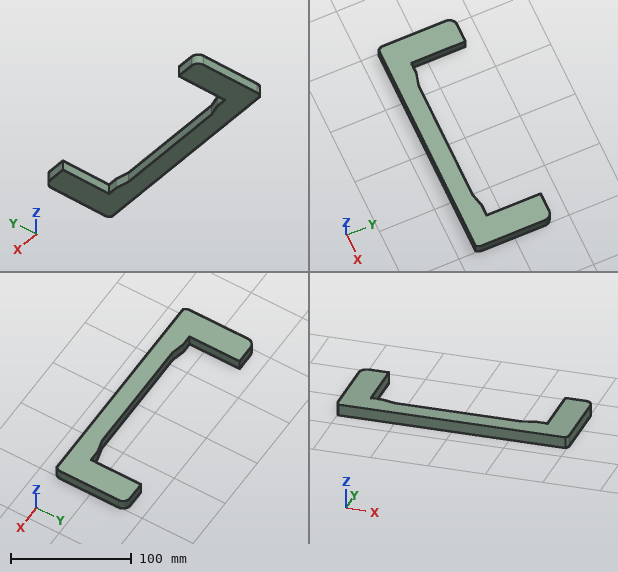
import cadquery as cq
import math

length = 201.5
depth = 69.0
thickness = 10.0

leg_width = 24.0
crossbar_depth = 20.0
corner_radius = 7.0

grip_recess = 3.0
grip_length = 110.0
grip_ramp_length = 12.0

front_arc_depth = 5.0

half_length = length / 2
half_opening = half_length - leg_width
half_grip = grip_length / 2
half_grip_mouth = half_grip + grip_ramp_length
grip_floor = crossbar_depth - grip_recess


def arc_setback(distance):
    """Inward shift of a corner arc at a distance past its tangent point on the side."""
    return corner_radius - math.sqrt(corner_radius**2 - distance**2)


def half_profile():
    """Outline of the +X half, with the front edge on Y = 0 and the legs toward +Y."""
    front_corner_x = half_length - arc_setback(front_arc_depth)
    front_arc_middle = front_arc_depth / 2
    front_middle_x = half_length - arc_setback(front_arc_depth - front_arc_middle)
    leg_arc_inset = corner_radius * (1 - math.sqrt(0.5))
    return (
        cq.Workplane("XY")
        .moveTo(0, 0)
        .lineTo(front_corner_x, 0)
        .threePointArc((front_middle_x, front_arc_middle), (half_length, front_arc_depth))
        .lineTo(half_length, depth - corner_radius)
        .threePointArc(
            (half_length - leg_arc_inset, depth - leg_arc_inset),
            (half_length - corner_radius, depth),
        )
        .lineTo(half_opening, depth)
        .lineTo(half_opening, crossbar_depth)
        .lineTo(half_grip_mouth, crossbar_depth)
        .lineTo(half_grip, grip_floor)
        .lineTo(0, grip_floor)
        .close()
    )


half_handle = half_profile().extrude(thickness)
result = half_handle.union(half_handle.mirror("YZ")).clean()